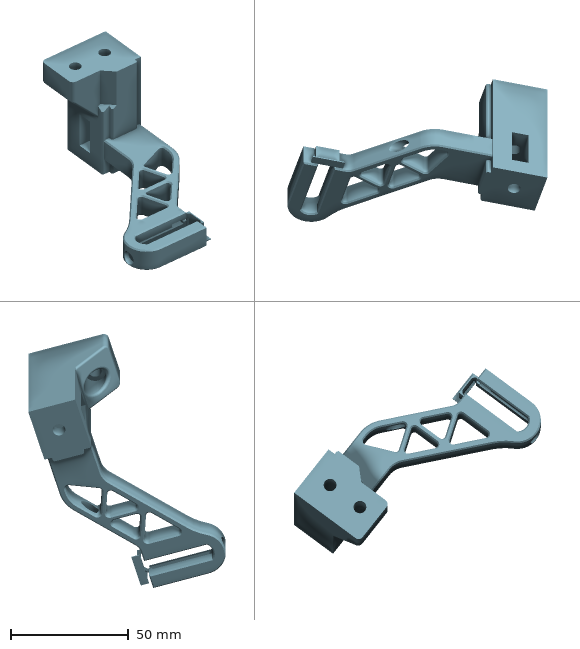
import cadquery as cq
import math

MOUNT_HEIGHT = 52.4
BLOCK_WIDTH = 24.0
BLOCK_DEPTH = 20.8
BLOCK_EDGE_CHAMFER = 0.6

RAIL_TIP_X = 26.1
RAIL_BACK_Y = -3.3
RAIL_FRONT_Y = -17.2

HEAD_WIDTH = 21.0
HEAD_DEPTH = 35.0
HEAD_FACE_HEIGHT = 10.3
SLOPE_END_Z = MOUNT_HEIGHT - HEAD_FACE_HEIGHT - (HEAD_DEPTH - BLOCK_DEPTH)
HEAD_CORNER_RADIUS = 2.1
HEAD_SLOPE_FILLET = 1.0

BOLT_X = 12.0
BOLT_YS = (-10.1, -26.1)
BOLT_RADIUS = 2.7
COUNTERBORE_RADIUS = 4.7
COUNTERBORE_TOP_Z = 44.3
COUNTERBORE_RIM_FILLET = 1.2

WINDOW_WIDTH = 7.2
WINDOW_BOTTOM_Z = 6.6
WINDOW_TOP_Z = 23.0

RELIEF_START_Y = -19.8
RELIEF_FLOOR_Z = 34.9
RELIEF_REACH = 20.1

ARM_BOTTOM_Z = 7.2
ARM_TOP_Z = 17.7
ARM_THICKNESS = ARM_TOP_Z - ARM_BOTTOM_Z
ARM_BACK_Y = -0.3
ARM_WIDTH = 19.8
ARM_FRONT_Y = ARM_BACK_Y - ARM_WIDTH
ARM_CHAMFER = 0.6
ARM_BEND_DEG = 40.7
FRONT_BEND_X = 43.7
FRONT_BEND_RADIUS = 9.1
BACK_BEND_RADIUS = 14.1

END_X = 90.5
END_RADIUS = 10.1
END_Y = -50.1
END_BACK_Y = -25.4
END_BLEND_RADIUS = 26.2
END_BACK_FILLET = 5.0

FRAME_WALL = 3.0
RIB_THICKNESS = 2.2
RIB_DEG = 20.0
FIRST_RIB_POINT = (55.1, -17.2)
UPRIGHT_RIB_X = 63.2
LAST_RIB_POINT = (70.7, -29.7)
FIRST_WINDOW_POINT = (45.4, -11.4)
FIRST_WINDOW_DEG = 113.0
LAST_WINDOW_X = 78.8
WINDOW_CORNER_RADIUS = 1.5
CORNER_SEARCH = 0.1

ACCESS_HOLE_START_X = 51.1
ACCESS_HOLE_LENGTH = 20.1
ACCESS_HOLE_Y = -10.3
ACCESS_HOLE_Z = 12.5
ACCESS_HOLE_RADIUS = 3.0

SLOT_HALF_WIDTH = 3.5
SLOT_LIP_HALF_WIDTH = 3.9
SLOT_CAVITY_HALF_WIDTH = 4.4
SLOT_END_RADIUS = 4.8
SLOT_OPEN_Y = END_BACK_Y + 2.0
SLOT_LEDGE_Z = 12.4
SLOT_DAM_Z = 13.4
SLOT_DAM_Y = -27.1
SLOT_LIP_Z = 16.7
SIDE_POCKET_FRONT_Y = -32.8
SIDE_POCKET_HALF_WIDTH = 6.5
SIDE_POCKET_TOP_Z = 14.0
SIDE_POCKET_CORNER = 0.7
END_HOLE_RADIUS = 3.1
END_HOLE_Z = 11.2
END_HOLE_FLOOR_Y = -57.5

PAD_WIDTH = 14.2
PAD_BACK_Y = -20.8
PAD_FRONT_Y = -24.4
PAD_THICKNESS = 0.5
HOOD_HALF_WIDTH = 5.1
HOOD_BACK_Y = -22.8
HOOD_WALL = 0.5
HOOD_TOP_Z = 16.1
BRIDGE_BOTTOM_Z = 13.4
HOOD_GUSSET = 1.2


def box(x0, x1, y0, y1, z0, z1):
    """A box between two opposite corners."""
    return cq.Workplane("XY").box(x1 - x0, y1 - y0, z1 - z0, centered=False).translate((x0, y0, z0))


def crossing(line_a, line_b):
    """The point where two lines meet, each given as a point and a direction in degrees."""
    (ax, ay), a_deg = line_a
    (bx, by), b_deg = line_b
    a_dx, a_dy = math.cos(math.radians(a_deg)), math.sin(math.radians(a_deg))
    b_dx, b_dy = math.cos(math.radians(b_deg)), math.sin(math.radians(b_deg))
    along = ((bx - ax) * b_dy - (by - ay) * b_dx) / (a_dx * b_dy - a_dy * b_dx)
    return (ax + along * a_dx, ay + along * a_dy)


def shifted(line, distance):
    """The same line moved to its left by a distance."""
    (x, y), deg = line
    return ((x - distance * math.sin(math.radians(deg)), y + distance * math.cos(math.radians(deg))), deg)


def corner_relief():
    """Upright 45 degree cut at the front right of the block, with a 45 degree floor."""
    side = cq.Plane(origin=(HEAD_WIDTH, RELIEF_START_Y, 0), xDir=(1, -1, 0), normal=(-1, -1, 0))
    profile = [
        (0, MOUNT_HEIGHT),
        (0, RELIEF_FLOOR_Z),
        (RELIEF_REACH, RELIEF_FLOOR_Z - RELIEF_REACH),
        (RELIEF_REACH, MOUNT_HEIGHT),
    ]
    return cq.Workplane(side).polyline(profile).close().extrude(RELIEF_REACH, both=True)


def mount_head():
    """Overhanging head with a 45 degree underside and rounded edges."""
    profile = [
        (0, MOUNT_HEIGHT),
        (-HEAD_DEPTH, MOUNT_HEIGHT),
        (-HEAD_DEPTH, MOUNT_HEIGHT - HEAD_FACE_HEIGHT),
        (-BLOCK_DEPTH, SLOPE_END_Z),
        (0, SLOPE_END_Z),
    ]
    head = cq.Workplane("YZ").polyline(profile).close().extrude(HEAD_WIDTH)
    head = head.faces("<Y").edges("|Z").fillet(HEAD_CORNER_RADIUS)
    slope = cq.selectors.DirectionMinMaxSelector(cq.Vector(0, -1, -1), True)
    return head.faces(slope).edges("not(>Y)").fillet(HEAD_SLOPE_FILLET)


def make_mount():
    block = box(0, BLOCK_WIDTH, -BLOCK_DEPTH, 0, 0, MOUNT_HEIGHT)
    block = block.edges("|Z and >X and <Y").chamfer(BLOCK_EDGE_CHAMFER)
    rail = box(HEAD_WIDTH, RAIL_TIP_X, RAIL_FRONT_Y, RAIL_BACK_Y, 0, MOUNT_HEIGHT)
    rail = rail.edges("|Z and >X").chamfer(BLOCK_EDGE_CHAMFER)
    mount = block.union(rail).cut(corner_relief()).union(mount_head())

    bolt_holes = cq.Workplane("XY").pushPoints([(BOLT_X, y) for y in BOLT_YS])
    mount = mount.cut(bolt_holes.circle(BOLT_RADIUS).extrude(MOUNT_HEIGHT))
    counterbore = cq.Workplane("XY").center(BOLT_X, BOLT_YS[1]).circle(COUNTERBORE_RADIUS)
    mount = mount.cut(counterbore.extrude(COUNTERBORE_TOP_Z))
    rim = cq.selectors.BoxSelector(
        (BOLT_X - HEAD_WIDTH / 4, -HEAD_DEPTH, SLOPE_END_Z),
        (BOLT_X + HEAD_WIDTH / 4, -BLOCK_DEPTH, COUNTERBORE_TOP_Z - 1),
    )
    mount = mount.edges(rim).edges("not %LINE").fillet(COUNTERBORE_RIM_FILLET)
    window_x = BOLT_X - WINDOW_WIDTH / 2
    return mount.cut(
        box(window_x, window_x + WINDOW_WIDTH, -BLOCK_DEPTH, 0, WINDOW_BOTTOM_Z, WINDOW_TOP_Z)
    )


ARM_BACK_LINE = ((0, ARM_BACK_Y), 0)
SLANT_FRONT_LINE = ((FRONT_BEND_X, ARM_FRONT_Y), -ARM_BEND_DEG)
SLANT_BACK_LINE = shifted(SLANT_FRONT_LINE, ARM_WIDTH)


def arm_outline():
    """Plan of the arm: straight base, slanted span and round end."""
    bend = math.radians(ARM_BEND_DEG)
    along = (math.cos(bend), -math.sin(bend))
    across = (math.sin(bend), math.cos(bend))

    def tangent_length(radius):
        return radius * math.tan(bend / 2)

    def bend_points(corner, radius):
        """Start, middle and end of the arc that turns from +X to the slanted direction."""
        start = (corner[0] - tangent_length(radius), corner[1])
        middle = (
            start[0] + radius * math.sin(bend / 2),
            start[1] - radius * (1 - math.cos(bend / 2)),
        )
        end = (
            corner[0] + tangent_length(radius) * along[0],
            corner[1] + tangent_length(radius) * along[1],
        )
        return start, middle, end

    front_bend = bend_points(SLANT_FRONT_LINE[0], FRONT_BEND_RADIUS)
    back_bend = bend_points(crossing(ARM_BACK_LINE, SLANT_BACK_LINE), BACK_BEND_RADIUS)

    line_x, line_y = SLANT_FRONT_LINE[0]
    end_height = (END_X - line_x) * across[0] + (END_Y - line_y) * across[1]
    drop = end_height + END_BLEND_RADIUS
    back_off = math.sqrt((END_RADIUS + END_BLEND_RADIUS) ** 2 - drop**2)
    blend_x = END_X - drop * across[0] - back_off * along[0]
    blend_y = END_Y - drop * across[1] - back_off * along[1]
    blend_start_angle = math.pi / 2 - bend
    blend_end_angle = math.atan2(END_Y - blend_y, END_X - blend_x)

    def on_blend(angle):
        return (
            blend_x + END_BLEND_RADIUS * math.cos(angle),
            blend_y + END_BLEND_RADIUS * math.sin(angle),
        )

    inner_corner = crossing(SLANT_BACK_LINE, ((0, END_BACK_Y), 0))
    inner_start = (
        inner_corner[0] - tangent_length(END_BACK_FILLET) * along[0],
        inner_corner[1] - tangent_length(END_BACK_FILLET) * along[1],
    )
    inner_end = (inner_corner[0] + tangent_length(END_BACK_FILLET), END_BACK_Y)
    inner_middle = (
        inner_end[0] - END_BACK_FILLET * math.sin(bend / 2),
        inner_end[1] + END_BACK_FILLET * (1 - math.cos(bend / 2)),
    )

    return (
        cq.Workplane("XY", origin=(0, 0, ARM_BOTTOM_Z))
        .moveTo(BLOCK_WIDTH, ARM_FRONT_Y)
        .lineTo(*front_bend[0])
        .threePointArc(front_bend[1], front_bend[2])
        .lineTo(*on_blend(blend_start_angle))
        .threePointArc(
            on_blend((blend_start_angle + blend_end_angle) / 2), on_blend(blend_end_angle)
        )
        .threePointArc((END_X, END_Y - END_RADIUS), (END_X + END_RADIUS, END_Y))
        .lineTo(END_X + END_RADIUS, END_BACK_Y)
        .lineTo(*inner_end)
        .threePointArc(inner_middle, inner_start)
        .lineTo(*back_bend[2])
        .threePointArc(back_bend[1], back_bend[0])
        .lineTo(BLOCK_WIDTH, ARM_BACK_Y)
        .close()
    )


def window_cutters():
    """The four lightening windows between the frame walls and the ribs."""
    half_rib = RIB_THICKNESS / 2
    top = shifted(ARM_BACK_LINE, -FRAME_WALL)
    upper = shifted(SLANT_BACK_LINE, -FRAME_WALL)
    lower = shifted(SLANT_FRONT_LINE, FRAME_WALL)
    first_rib = (FIRST_RIB_POINT, RIB_DEG)
    last_rib = (LAST_RIB_POINT, RIB_DEG)
    upright = ((UPRIGHT_RIB_X, 0), 90)
    first_side = (FIRST_WINDOW_POINT, FIRST_WINDOW_DEG)
    last_side = ((LAST_WINDOW_X, 0), 90)

    outlines = [
        (first_side, shifted(first_rib, half_rib), upper, top),
        (lower, shifted(upright, half_rib), shifted(first_rib, -half_rib)),
        (shifted(upright, -half_rib), shifted(last_rib, half_rib), upper),
        (lower, last_side, shifted(last_rib, -half_rib)),
    ]
    bend_x, bend_y = crossing(upper, top)
    bend_edge = cq.selectors.BoxSelector(
        (bend_x - CORNER_SEARCH, bend_y - CORNER_SEARCH, ARM_BOTTOM_Z),
        (bend_x + CORNER_SEARCH, bend_y + CORNER_SEARCH, ARM_TOP_Z),
    )
    cutters = []
    for lines in outlines:
        corners = [crossing(a, b) for a, b in zip(lines, lines[1:] + lines[:1])]
        cutter = cq.Workplane("XY", origin=(0, 0, ARM_BOTTOM_Z)).polyline(corners).close()
        cutter = cutter.extrude(ARM_THICKNESS)
        if cutter.edges("|Z").edges(bend_edge).size():
            cutter = cutter.edges("|Z").edges(bend_edge).fillet(BACK_BEND_RADIUS - FRAME_WALL)
            cutter = cutter.edges("|Z and (<X or <Y or >X)").fillet(WINDOW_CORNER_RADIUS)
        else:
            cutter = cutter.edges("|Z").fillet(WINDOW_CORNER_RADIUS)
        cutters.append(cutter)
    return cutters


def slot_outline(half_width, z, open_y=SLOT_OPEN_Y):
    """Parallel sides, open at the back and closed by an arc about the round end's centre."""
    arc_start_y = END_Y - math.sqrt(SLOT_END_RADIUS**2 - half_width**2)
    return (
        cq.Workplane("XY", origin=(END_X, 0, z))
        .moveTo(half_width, open_y)
        .lineTo(-half_width, open_y)
        .lineTo(-half_width, arc_start_y)
        .threePointArc((0, END_Y - SLOT_END_RADIUS), (half_width, arc_start_y))
        .close()
    )


def end_slot():
    """Stepped slot: narrow below, a wider cavity above a ledge with a dam at its back, and a lip on top."""
    lower = slot_outline(SLOT_HALF_WIDTH, ARM_BOTTOM_Z).extrude(SLOT_DAM_Z - ARM_BOTTOM_Z)
    behind_dam = slot_outline(SLOT_CAVITY_HALF_WIDTH, SLOT_LEDGE_Z, SLOT_DAM_Y)
    lower = lower.union(behind_dam.extrude(SLOT_DAM_Z - SLOT_LEDGE_Z))
    cavity = slot_outline(SLOT_CAVITY_HALF_WIDTH, SLOT_DAM_Z).extrude(SLOT_LIP_Z - SLOT_DAM_Z)
    lip = slot_outline(SLOT_LIP_HALF_WIDTH, SLOT_LIP_Z).extrude(ARM_TOP_Z - SLOT_LIP_Z)
    top_rim = slot_outline(SLOT_LIP_HALF_WIDTH, ARM_TOP_Z - ARM_CHAMFER).extrude(ARM_CHAMFER, taper=-45)
    bottom_rim = slot_outline(SLOT_HALF_WIDTH, ARM_BOTTOM_Z + ARM_CHAMFER).extrude(-ARM_CHAMFER, taper=-45)
    return lower.union(cavity).union(lip).union(top_rim).union(bottom_rim)


def make_arm(mount):
    arm = arm_outline().extrude(ARM_THICKNESS)
    for cutter in window_cutters():
        arm = arm.cut(cutter)
    arm = arm.faces("<Z or >Z").edges("not(<X)").chamfer(ARM_CHAMFER)
    arm = arm.cut(end_slot())
    side_pocket = box(
        END_X - SIDE_POCKET_HALF_WIDTH,
        END_X + SIDE_POCKET_HALF_WIDTH,
        SIDE_POCKET_FRONT_Y,
        SLOT_DAM_Y,
        SLOT_LEDGE_Z,
        SIDE_POCKET_TOP_Z,
    ).edges("|X and <Y").fillet(SIDE_POCKET_CORNER)
    arm = arm.cut(side_pocket)
    end_hole = cq.Workplane("XZ", origin=(END_X, END_HOLE_FLOOR_Y, END_HOLE_Z))
    arm = arm.cut(end_hole.circle(END_HOLE_RADIUS).extrude(END_RADIUS))
    access = cq.Workplane("YZ", origin=(ACCESS_HOLE_START_X, ACCESS_HOLE_Y, ACCESS_HOLE_Z))
    arm = arm.cut(access.circle(ACCESS_HOLE_RADIUS).extrude(ACCESS_HOLE_LENGTH))
    return arm.cut(mount)


def make_end_cap():
    """Thin pad with a U-shaped wall whose top bridges across to the back of the arm."""
    left = END_X - HOOD_HALF_WIDTH
    right = END_X + HOOD_HALF_WIDTH
    inner_left = left + HOOD_WALL
    inner_right = right - HOOD_WALL
    inner_back = HOOD_BACK_Y - HOOD_WALL
    pad = box(
        END_X - PAD_WIDTH / 2,
        END_X + PAD_WIDTH / 2,
        PAD_FRONT_Y,
        PAD_BACK_Y,
        ARM_BOTTOM_Z,
        ARM_BOTTOM_Z + PAD_THICKNESS,
    )
    hood = box(left, right, PAD_FRONT_Y, HOOD_BACK_Y, ARM_BOTTOM_Z, HOOD_TOP_Z)
    bridge = box(left, right, END_BACK_Y, HOOD_BACK_Y, BRIDGE_BOTTOM_Z, HOOD_TOP_Z)
    channel = box(inner_left, inner_right, END_BACK_Y, inner_back, ARM_BOTTOM_Z, BRIDGE_BOTTOM_Z)
    opening = box(inner_left, inner_right, END_BACK_Y, inner_back, BRIDGE_BOTTOM_Z, HOOD_TOP_Z)
    opening = opening.edges("|Z and >Y").chamfer(HOOD_GUSSET)
    return hood.union(bridge).cut(channel).cut(opening).union(pad)


mount = make_mount()
arm = make_arm(mount)
end_cap = make_end_cap()

result = cq.Compound.makeCompound([mount.val(), arm.val(), end_cap.val()])